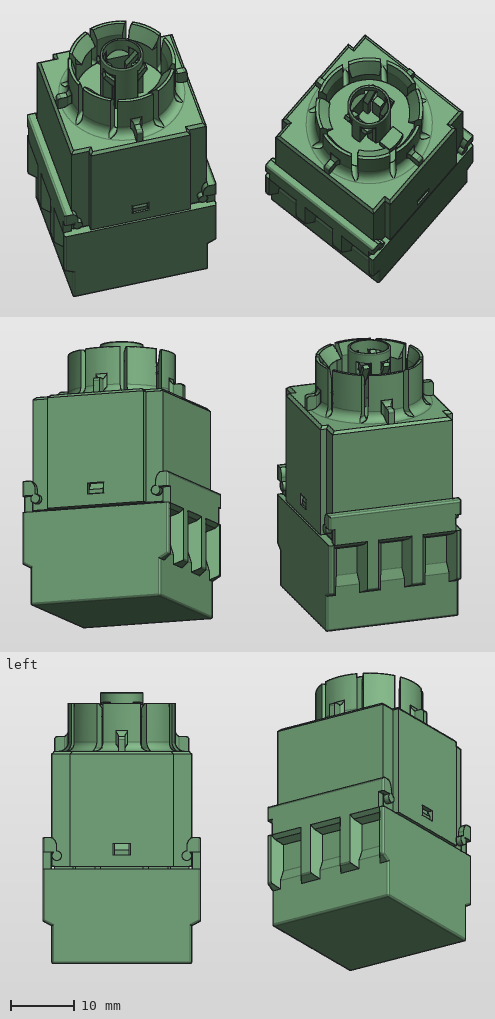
import cadquery as cq
import math

width = 22.2
half = width / 2
tiny_overlap = 0.1
cut_margin = 1.0
sides = (-1, 1)

base_height = 15.0
flange_top = 20.0
flange_half_depth = 12.5
flange_bottom = 6.75
flange_root = 6.0
edge_radius = 0.3
clearance = 0.05
flange_inner = half + clearance

ear_thickness = 0.95
ear_inside_x = half - ear_thickness
ear_bottom = 17.67
ear_tip_y = 10.3
ear_arc_end = 18.6
ear_arc_radius = 1.7
bump_diameter = 1.5
bump_z = 17.1

pocket_pitch = 7.5
pocket_floor_y = 10.65
pocket_mouth_half = 2.82
pocket_floor_half = 1.75
pocket_bend_y = 11.9
pocket_bend_z = 14.35
pocket_ceiling_z = 13.7
ledge_low = 7.46
ledge_high = 9.17

housing_bottom = 15.4
housing_top = 33.65
top_chamfer = 0.45
notch_x = 10.05
notch_y = 8.22
plinth_half_x = 9.8
plinth_half_y = 10.67
groove_spans = ((3.4, 4.2), (7.35, 7.75))
groove_depth = 0.5

window_width = 2.75
window_bottom = 17.25
window_top = 19.0
window_depth = 0.8
wedge_width = 2.35
wedge_slope_bottom = 17.98
wedge_recess = 0.3

collar_top = 41.23
collar_outer = 8.5
collar_inner = 7.36
flare_radius = 1.5
mouth_radius = 8.0
mouth_bottom = 39.2
hook_radius = 6.4
hook_angle = 40.0
slot_offset = 3.03
slot_width = 1.0
slot_start = 5.0
slot_end = 11.0

rib_width = 1.0
rib_reach = 10.65
rib_top = 36.0
rib_corner = 0.5
rib_flare_width = 1.9
rib_flare_start = 9.05
rib_flare_top = 36.95
rib_flare_radius = 1.1

pad_width = 3.32
pad_outer_radius = 5.8
pad_inner_x = 3.48
pad_height = 1.5

tube_top = 42.95
tube_outer = 6.8 / 2
tube_inner = 6.05 / 2
tube_rim_radius = 0.15
tube_slot_top = 41.4
channel_half = 2.2
shoulder_top = 40.6
pillar_half = 0.79
tube_slot_outer_x = 2.85
tube_slot_inner_y = 1.8
pillar_inner_y = 1.79
pillar_top = 39.3
contact_inner_x = 1.2
contact_outer_x = 2.2
contact_tip_y = 3.6
contact_peak_y = 3.2
contact_tip_z = 40.7
contact_peak_z = 41.2
contact_bend_y = 1.1
contact_bend_z = 38.4
contact_thickness = 0.8


def box(x0, x1, y0, y1, z0, z1):
    """Axis-aligned box between two corners."""
    return cq.Workplane("XY").box(x1 - x0, y1 - y0, z1 - z0, centered=False).translate((x0, y0, z0))


def mirrored(shape, plane):
    """A shape together with its mirror image."""
    return shape.union(shape.mirror(plane))


def base_block():
    """Block and flanges as one rounded extrusion, hollowed above the block for the housing."""
    outline = [
        (half, 0),
        (half, flange_root),
        (flange_half_depth, flange_bottom),
        (flange_half_depth, flange_top),
    ]
    outline += [(-y, z) for y, z in reversed(outline)]
    block = cq.Workplane("YZ").polyline(outline).close().extrude(half, both=True)
    long_edges = block.faces("<Z or >Y or <Y").edges("|X")
    end_edges = block.faces("<X or >X").edges("not >Z")
    block = end_edges.add(long_edges).fillet(edge_radius)
    return block.cut(box(-width, width, -flange_inner, flange_inner, base_height, flange_top + cut_margin))


def clip_ear():
    """Rounded ear with a round bump under it, at the +X +Y corner."""
    root_y = (flange_inner + flange_half_depth) / 2
    ear = (
        cq.Workplane("YZ", origin=(ear_inside_x, 0, 0))
        .moveTo(root_y, ear_bottom)
        .lineTo(ear_tip_y, ear_bottom)
        .lineTo(ear_tip_y, ear_arc_end)
        .radiusArc((half, flange_top), ear_arc_radius)
        .lineTo(root_y, flange_top)
        .close()
        .extrude(ear_thickness)
    )
    bump = (
        cq.Workplane("YZ", origin=(ear_inside_x, 0, 0))
        .center(ear_tip_y, bump_z)
        .circle(bump_diameter / 2)
        .extrude(ear_thickness)
    )
    return ear.union(bump)


def terminal_pocket():
    """Funnel pocket on the -Y side: tapering side walls, bent ceiling and sloping ledge."""
    beyond = flange_half_depth + cut_margin
    taper = (pocket_mouth_half - pocket_floor_half) / (flange_half_depth - pocket_floor_y)
    beyond_half = pocket_mouth_half + taper * cut_margin
    plan = (
        cq.Workplane("XY")
        .polyline([
            (-pocket_floor_half, -pocket_floor_y),
            (pocket_floor_half, -pocket_floor_y),
            (beyond_half, -beyond),
            (-beyond_half, -beyond),
        ])
        .close()
        .extrude(flange_top)
    )
    profile = (
        cq.Workplane("YZ")
        .polyline([
            (-beyond, 0),
            (-half, 0),
            (-half, ledge_low),
            (-pocket_floor_y, ledge_high),
            (-pocket_floor_y, pocket_ceiling_z),
            (-pocket_bend_y, pocket_bend_z),
            (-flange_half_depth, base_height),
            (-beyond, base_height),
        ])
        .close()
        .extrude(beyond_half, both=True)
    )
    return plan.intersect(profile)


def make_base():
    """Base with its clip ears and three terminal pockets on each Y side."""
    body = base_block()
    for side in sides:
        inner, outer = sorted((side * ear_inside_x, side * width))
        body = body.cut(box(inner, outer, -width, width, base_height, ear_bottom))
    body = body.union(mirrored(mirrored(clip_ear(), "YZ"), "XZ"))
    pockets = mirrored(terminal_pocket(), "XZ")
    for column in (-1, 0, 1):
        body = body.cut(pockets.translate((column * pocket_pitch, 0, 0)))
    return body


def housing_block():
    """Block with notched corners, standing on a grooved plinth."""
    block = box(-half, half, -half, half, housing_bottom, housing_top)
    for x_side in sides:
        for y_side in sides:
            x0, x1 = sorted((x_side * notch_x, x_side * width))
            y0, y1 = sorted((y_side * notch_y, y_side * width))
            block = block.cut(box(x0, x1, y0, y1, 0, tube_top))
    block = block.faces(">Z").chamfer(top_chamfer)
    plinth = box(-plinth_half_x, plinth_half_x, -plinth_half_y, plinth_half_y,
                 base_height, housing_bottom + tiny_overlap)
    for inner_y, outer_y in groove_spans:
        groove = box(plinth_half_x - groove_depth, plinth_half_x, inner_y, outer_y,
                     base_height, housing_bottom)
        plinth = plinth.cut(mirrored(mirrored(groove, "YZ"), "XZ"))
    return block.union(plinth)


def snap_window():
    """Recess in the -X face, less the sloping wedge that stands in it."""
    recess = box(-half, -half + window_depth, -window_width / 2, window_width / 2,
                 window_bottom, window_top)
    wedge = (
        cq.Workplane("XZ")
        .polyline([
            (-half + window_depth, window_bottom),
            (-half + wedge_recess, window_bottom),
            (-half + wedge_recess, wedge_slope_bottom),
            (-half + window_depth, window_top),
        ])
        .close()
        .extrude(wedge_width / 2, both=True)
    )
    return recess.cut(wedge)


def slotted_collar():
    """Flared ring with four inner snap hooks, parted by eight round-bottomed slots."""
    flare_outer = collar_outer + flare_radius
    flare_top = housing_top + flare_radius
    flare_mid = flare_radius * (1 - math.sqrt(0.5))
    root = housing_top - tiny_overlap
    ring = (
        cq.Workplane("XZ")
        .moveTo(collar_inner, root)
        .lineTo(flare_outer, root)
        .lineTo(flare_outer, housing_top)
        .threePointArc((collar_outer + flare_mid, housing_top + flare_mid), (collar_outer, flare_top))
        .lineTo(collar_outer, collar_top)
        .lineTo(mouth_radius, collar_top)
        .lineTo(collar_inner, mouth_bottom)
        .close()
        .revolve(360, (0, 0, 0), (0, 1, 0))
    )
    hook = (
        cq.Workplane("XZ")
        .polyline([
            (mouth_radius, collar_top),
            (hook_radius, mouth_bottom),
            (collar_inner + tiny_overlap, mouth_bottom),
        ])
        .close()
        .revolve(hook_angle, (0, 0, 0), (0, 1, 0))
        .rotate((0, 0, 0), (0, 0, 1), -hook_angle / 2)
    )
    slot_radius = slot_width / 2
    slot = box(slot_start, slot_end, slot_offset - slot_radius, slot_offset + slot_radius,
               housing_top + slot_radius, tube_top)
    slot = slot.union(
        cq.Workplane("YZ", origin=(slot_start, 0, 0))
        .center(slot_offset, housing_top + slot_radius)
        .circle(slot_radius)
        .extrude(slot_end - slot_start)
    )
    slots = mirrored(slot, "XZ")
    for corner in range(4):
        ring = ring.union(hook.rotate((0, 0, 0), (0, 0, 1), 45 + 90 * corner))
    for corner in range(4):
        ring = ring.cut(slots.rotate((0, 0, 0), (0, 0, 1), 45 + 90 * corner))
    return ring


def locating_rib():
    """Rib on the +X side whose root flares into the collar."""
    root_x = mouth_radius + tiny_overlap
    root_z = housing_top - tiny_overlap
    flare_half = rib_flare_width / 2
    flare_run = rib_flare_start - collar_outer
    profile = (
        cq.Workplane("XZ")
        .moveTo(root_x, root_z)
        .lineTo(rib_reach, root_z)
        .lineTo(rib_reach, rib_top - rib_corner)
        .radiusArc((rib_reach - rib_corner, rib_top), -rib_corner)
        .lineTo(rib_flare_start, rib_top)
        .radiusArc((collar_outer, rib_flare_top), rib_flare_radius)
        .lineTo(root_x, rib_flare_top)
        .close()
        .extrude(flare_half, both=True)
    )
    plan = (
        cq.Workplane("XY", origin=(0, 0, root_z))
        .moveTo(root_x, -flare_half)
        .lineTo(collar_outer, -flare_half)
        .radiusArc((rib_flare_start, -rib_width / 2), flare_run)
        .lineTo(rib_reach, -rib_width / 2)
        .lineTo(rib_reach, rib_width / 2)
        .lineTo(rib_flare_start, rib_width / 2)
        .radiusArc((collar_outer, flare_half), flare_run)
        .lineTo(root_x, flare_half)
        .close()
        .extrude(collar_top - root_z)
    )
    return profile.intersect(plan)


def pad():
    """Flat pad on the -X side of the tube with an arc-shaped outer end."""
    root = housing_top - tiny_overlap
    disc = cq.Workplane("XY", origin=(0, 0, root)).circle(pad_outer_radius).extrude(pad_height + tiny_overlap)
    return disc.intersect(box(-width, -pad_inner_x, -pad_width / 2, pad_width / 2, 0, tube_top))


def contact():
    """Bent contact strip in the +X +Y quarter of the tube, leaning out through the tube slot."""
    root = housing_top - tiny_overlap
    return (
        cq.Workplane("YZ", origin=(contact_inner_x, 0, 0))
        .polyline([
            (contact_bend_y, root),
            (contact_bend_y, contact_bend_z),
            (contact_peak_y, contact_peak_z),
            (contact_tip_y, contact_tip_z),
            (contact_bend_y + contact_thickness, contact_bend_z - contact_thickness / 2),
            (contact_bend_y + contact_thickness, root),
        ])
        .close()
        .extrude(contact_outer_x - contact_inner_x)
    )


def contact_tube():
    """Tube with sloping shoulders, pillars and four contacts showing through its slots."""
    root = housing_top - tiny_overlap
    plane = cq.Workplane("XY", origin=(0, 0, root))
    tube = plane.circle(tube_outer).extrude(tube_top - root).faces(">Z").edges().fillet(tube_rim_radius)
    bore = plane.circle(tube_inner).extrude(tube_top - root)
    tube = tube.cut(bore)
    shoulder = (
        cq.Workplane("XZ")
        .polyline([
            (channel_half, root),
            (tube_outer - tiny_overlap, root),
            (tube_outer - tiny_overlap, shoulder_top),
            (tube_inner, shoulder_top),
            (channel_half, shoulder_top - (tube_inner - channel_half)),
        ])
        .close()
        .extrude(tube_outer, both=True)
    )
    pillar = box(-pillar_half, pillar_half, pillar_inner_y, tube_outer, root, pillar_top)
    filling = mirrored(shoulder, "YZ").union(mirrored(pillar, "XZ"))
    limit = plane.circle(tube_outer - tiny_overlap).extrude(tube_top - root)
    tube = tube.union(filling.intersect(limit))
    slot = box(pillar_half, tube_slot_outer_x, tube_slot_inner_y, width, housing_top, tube_slot_top)
    tube = tube.cut(mirrored(mirrored(slot, "YZ"), "XZ"))
    return tube.union(mirrored(mirrored(contact(), "YZ"), "XZ"))


def make_housing():
    """Housing block with snap windows, collar, ribs, contact tube and pad."""
    body = housing_block().cut(mirrored(snap_window(), "YZ"))
    body = body.union(slotted_collar())
    for quarter in range(4):
        body = body.union(locating_rib().rotate((0, 0, 0), (0, 0, 1), 90 * quarter))
    return body.union(contact_tube()).union(pad())


base = make_base()
housing = make_housing()
result = cq.Compound.makeCompound([base.solids().val(), housing.solids().val()])